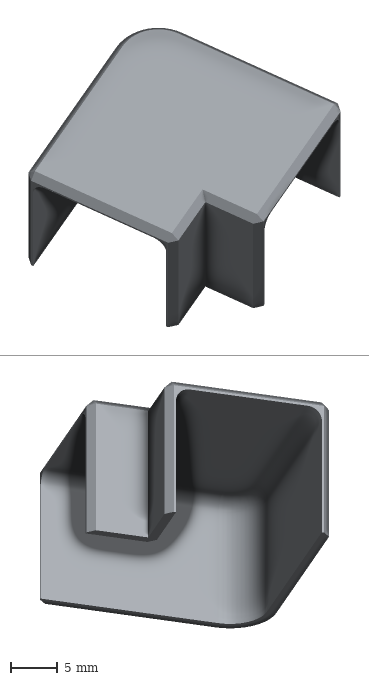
import cadquery as cq

side = 25.35
height = 16.1
leg_width = 18.6
wall = 1.06
corner_radius = 5.22
chamfer = 0.8
cavity_fillet = 1.57
end_overrun = 2.54


def elbow(inset, end_extension, depth):
    """Extruded L with a rounded outer corner; its legs open towards +X and -Y."""
    left = inset
    back = side - inset
    leg_inner_x = leg_width - inset
    leg_inner_y = side - leg_inner_x
    end_x = side + end_extension
    end_y = -end_extension
    return (
        cq.Workplane("XY")
        .moveTo(left, end_y)
        .lineTo(leg_inner_x, end_y)
        .lineTo(leg_inner_x, leg_inner_y)
        .lineTo(end_x, leg_inner_y)
        .lineTo(end_x, back)
        .lineTo(corner_radius, back)
        .radiusArc((left, side - corner_radius), -(corner_radius - inset))
        .close()
        .extrude(depth)
    )


body = elbow(0, 0, height)
body = body.faces(">Z or <Y or >X").edges("|Z or >Z").chamfer(chamfer)

cavity_bend = (leg_width - wall, side - leg_width + wall, (height - wall) / 2)
cavity = elbow(wall, end_overrun, height - wall)
cavity = cavity.edges(cq.selectors.NearestToPointSelector(cavity_bend)).chamfer(chamfer)
cavity = cavity.faces(">Z").edges("not (<Y or >X)").fillet(cavity_fillet)

result = body.cut(cavity)